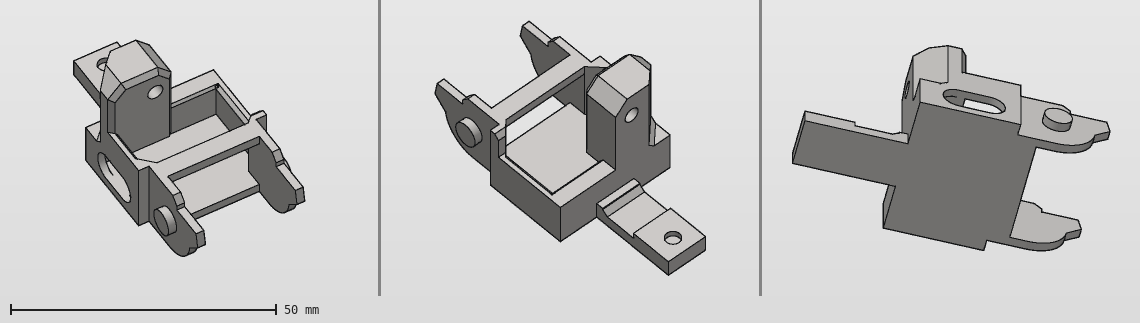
import cadquery as cq
import math

box_length = 19.55
box_width = 28.0
low_wall_height = 9.6
high_wall_height = 15.3
y_front = -box_width / 2
y_back = box_width / 2

floor_height = 1.95
rim_x = 3.45
rim_y = 1.05
bevel = 0.5
back_bevel = 0.75
corner_cut_x = 3.05
window_half_width = 10.0

post_x = 17.25
edge_chamfer = 1.05

slot_x = 10.5
slot_length = 12.1
slot_height = 6.05
slot_top = floor_height + slot_height

tower_thickness = 9.15
tower_width = 13.9
tower_top = 27.25
shoulder = 2.95
tower_hole_diameter = 3.3
tower_hole_y = y_front + 9.85
tower_hole_z = 22.0
corner_leg = 5.4
ledge_leg = 4.1
ledge_z = 9.1
corner_cut_z = 10.1

tongue_length = 20.0
tongue_width = 9.5
tongue_height = 3.8
recess_floor = 2.5
recess_start = -10.25
recess_end = -3.0
recess_slope_run = 1.3
recess_step = 0.3
tongue_hole_diameter = 3.3
tongue_hole_depth = 1.25
tongue_hole_x = 3.9 - tongue_length

arm_thickness = 1.7
arm_outer_y = window_half_width + arm_thickness
pivot_x = 27.05
pivot_z = 7.6
pin_diameter = 5.4
pin_length = 1.8
tip_x = 57.55 - tongue_length
tip_z = 9.3
bar_end_x = 23.6
bar_bottom = 13.25


def block(x0, x1, y0, y1, z0, z1):
    return cq.Workplane("XY").box(x1 - x0, y1 - y0, z1 - z0, centered=False).translate((x0, y0, z0))


def side_profile(points, y0, y1):
    """Extrude an (x, z) polygon from y0 to y1."""
    return cq.Workplane("XZ", origin=(0, y0, 0)).polyline(points).close().extrude(y0 - y1)


def end_profile(points, x0, x1):
    """Extrude a (y, z) polygon from x0 to x1."""
    return cq.Workplane("YZ", origin=(x0, 0, 0)).polyline(points).close().extrude(x1 - x0)


def pocket_prism(x_wall, front_wall, back_wall):
    """Pocket outline for the given wall thicknesses, raised from the floor past every wall."""
    slant_y = y_back - rim_y
    slant_x = box_length - corner_cut_x
    slope = (slant_y - window_half_width) / corner_cut_x
    front = y_front + front_wall
    back = y_back - back_wall
    points = [
        (x_wall, front),
        (slant_x + (front + slant_y) / slope, front),
        (box_length, -window_half_width),
        (box_length, window_half_width),
        (slant_x + (slant_y - back) / slope, back),
        (x_wall, back),
    ]
    return cq.Workplane("XY", origin=(0, 0, floor_height)).polyline(points).close().extrude(tower_top)


def make_box():
    body = block(0, box_length, y_front, y_back, 0, low_wall_height)
    body = body.union(block(0, box_length, y_front, -window_half_width, 0, high_wall_height))
    body = body.cut(block(0, rim_x, y_front + rim_y, y_back, low_wall_height, high_wall_height))
    post = block(post_x, box_length, window_half_width, y_back, 0, high_wall_height)
    body = body.union(post.edges("<X and >Z").chamfer(edge_chamfer))
    body = body.cut(pocket_prism(rim_x + bevel, rim_y + bevel, rim_y + back_bevel))
    return body.cut(make_rim_bevels())


def make_rim_bevels():
    """45 degree bevels on the inner rims of the three walls."""
    inner_x = rim_x + bevel
    bevels = side_profile(
        [(rim_x, low_wall_height), (inner_x, low_wall_height), (inner_x, low_wall_height - bevel)],
        y_front + rim_y, y_back,
    )
    for side, size, top in ((-1, bevel, high_wall_height), (1, back_bevel, low_wall_height)):
        rim = side * (y_back - rim_y)
        inner = rim - side * size
        bevels = bevels.union(end_profile([(rim, top), (inner, top), (inner, top - size)], 0, box_length))
    return bevels.intersect(pocket_prism(rim_x, rim_y, rim_y))


def make_tower():
    inner_y = y_front + tower_width
    outline = [
        (y_front, slot_top),
        (inner_y, slot_top),
        (inner_y, tower_top - shoulder),
        (inner_y - shoulder, tower_top),
        (y_front + shoulder, tower_top),
        (y_front, tower_top - shoulder),
    ]
    tower = end_profile(outline, 0, tower_thickness)
    return tower.faces(">X").edges("not <Z").chamfer(edge_chamfer)


def triangle_points(leg):
    return [(0, y_front), (leg, y_front), (0, y_front + leg)]


def corner_triangle(leg, z):
    return cq.Workplane("XY", origin=(0, 0, z)).polyline(triangle_points(leg)).close()


def make_corner_cut():
    """Vertical 45 degree cut on the tower corner, narrowing to a flat ledge at its foot."""
    upper = corner_triangle(corner_leg, corner_cut_z).extrude(tower_top - corner_cut_z)
    foot = (
        corner_triangle(ledge_leg, ledge_z)
        .workplane(offset=corner_cut_z - ledge_z)
        .polyline(triangle_points(corner_leg))
        .close()
        .loft(ruled=True)
    )
    return upper.union(foot)


def make_tongue():
    outline = [
        (-tongue_length, 0),
        (0, 0),
        (0, tongue_height),
        (recess_end + recess_slope_run, tongue_height),
        (recess_end + recess_slope_run, tongue_height - recess_step),
        (recess_end, recess_floor),
        (recess_start, recess_floor),
        (recess_start, tongue_height),
        (-tongue_length, tongue_height),
    ]
    tongue = side_profile(outline, -tongue_width / 2, tongue_width / 2)
    hole = (
        cq.Workplane("XY", origin=(tongue_hole_x, 0, tongue_height))
        .circle(tongue_hole_diameter / 2)
        .extrude(-tongue_hole_depth)
    )
    return tongue.cut(hole)


def make_arm():
    """The +Y arm with its pin; the lower end is rounded about the pin axis."""
    shoulder_x, notch_x, notch_end_x = 28.3, 29.8, 36.9
    notch_top, notch_z = 13.75, 12.65
    arc_end_z = 6.55
    arc_end_angle = math.asin((arc_end_z - pivot_z) / pivot_z)
    arc_end_x = pivot_x + pivot_z * math.cos(arc_end_angle)
    middle_angle = (arc_end_angle - math.pi / 2) / 2
    arc_middle = (pivot_x + pivot_z * math.cos(middle_angle), pivot_z + pivot_z * math.sin(middle_angle))
    arm = (
        cq.Workplane("XZ", origin=(0, arm_outer_y, 0))
        .moveTo(box_length, 0)
        .lineTo(box_length, high_wall_height)
        .lineTo(shoulder_x, high_wall_height)
        .lineTo(notch_x, notch_top)
        .lineTo(notch_x, notch_z)
        .lineTo(notch_end_x, notch_z)
        .lineTo(tip_x, tip_z)
        .lineTo(arc_end_x, arc_end_z)
        .threePointArc(arc_middle, (pivot_x, 0))
        .close()
        .extrude(arm_thickness)
    )
    pin = (
        cq.Workplane("XZ", origin=(pivot_x, arm_outer_y, pivot_z))
        .circle(pin_diameter / 2)
        .extrude(-pin_length)
    )
    return arm.union(pin)


arm = make_arm()
bar = block(box_length, bar_end_x, -window_half_width, window_half_width, bar_bottom, high_wall_height)
sill = block(box_length, bar_end_x, -window_half_width, window_half_width, 0, floor_height)
slot = (
    cq.Workplane("XZ", origin=(slot_x, y_front, floor_height + slot_height / 2))
    .slot2D(slot_length, slot_height)
    .extrude(-(rim_y + bevel))
)
tower_hole = (
    cq.Workplane("YZ", origin=(0, tower_hole_y, tower_hole_z))
    .circle(tower_hole_diameter / 2)
    .extrude(tower_thickness)
)

result = (
    make_box()
    .union(make_tower())
    .cut(make_corner_cut())
    .cut(tower_hole)
    .cut(slot)
    .union(make_tongue())
    .union(arm)
    .union(arm.mirror("XZ"))
    .union(bar)
    .union(sill)
)